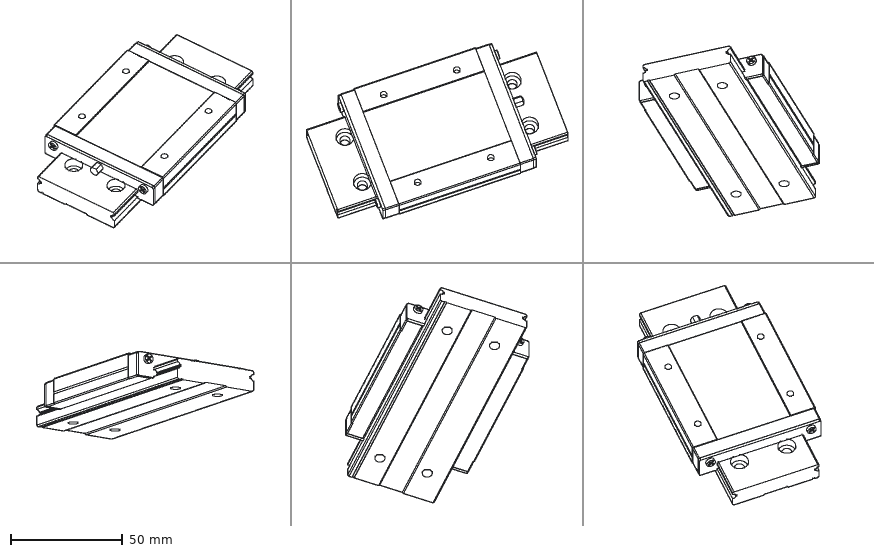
import cadquery as cq
import math

RAIL_LENGTH = 110.0
RAIL_WIDTH = 42.0
RAIL_HEIGHT = 9.6
RAIL_CHAMFER = 0.7
RACE_RADIUS = 1.5
RACE_HEIGHT = 6.4
RACE_SLOT_WIDTH = 0.8
RACE_SLOT_DEPTH = 2.1
RELIEF_WIDTH = 12.1
RELIEF_DEPTH = 0.5
MARK_GROOVE_WIDTH = 1.0
MARK_GROOVE_DEPTH = 0.3
MARK_GROOVE_X = -18.4
RAIL_HOLE_SPACING_X = 23.0
RAIL_HOLE_SPACING_Y = 80.0
RAIL_HOLE_DIAMETER = 4.5
COUNTERBORE_DIAMETER = 8.0
COUNTERBORE_DEPTH = 4.5

BLOCK_LENGTH = 58.0
BLOCK_WIDTH = 60.0
BLOCK_BOTTOM = 4.0
BLOCK_TOP = 16.0
BLOCK_CHAMFER = 0.5
TOP_RECESS_WIDTH = 36.0
TOP_RECESS_DEPTH = 0.3
SIDE_GROOVE_Z = 9.0
SIDE_GROOVE_HEIGHT = 1.0
SIDE_GROOVE_DEPTH = 0.16
CAP_LENGTH = 6.4
CAP_WIDTH = 59.4
CAP_TOP = 15.4
CAP_CHAMFER = 0.5
CHANNEL_MOUTH_CHAMFER = 0.9
PLATE_THICKNESS = 1.3
PLATE_INSET = 0.1
PLATE_BOTTOM = 4.2
PLATE_TOP_CHAMFER = 0.7
PLATE_BOTTOM_CHAMFER = 0.3
MOUNT_HOLE_SPACING_X = 45.0
MOUNT_HOLE_SPACING_Y = 35.0
MOUNT_HOLE_DIAMETER = 3.0
MOUNT_HOLE_DEPTH = 4.0
DRILL_POINT_ANGLE = 118.0
PLATE_WIDTH = CAP_WIDTH - 2 * PLATE_INSET
PLATE_TOP = CAP_TOP - PLATE_INSET
CARRIAGE_END = BLOCK_LENGTH / 2 + CAP_LENGTH + PLATE_THICKNESS

SCREW_DIAMETER = 4.2
SCREW_HEAD_HEIGHT = 1.3
SCREW_SPACING = 49.1
SCREW_Z = 12.3
CROSS_LENGTH = 2.9
CROSS_WIDTH = 0.4
CROSS_DEPTH = 0.7

NIPPLE_ACROSS_FLATS = 4.0
NIPPLE_LENGTH = 4.6
NIPPLE_DOME_RADIUS = 3.2
NIPPLE_Z = 12.4


def bar_along_y(outline, y_start, y_end):
    """Extrude a closed outline, in the XZ plane, from y_start to y_end."""
    return outline.extrude(y_start - y_end).translate((0, y_start, 0))


def chamfered_bar(width, bottom, top, top_chamfer, bottom_chamfer, y_range):
    """A rectangular bar along Y whose four long edges are chamfered."""
    outline = cq.Workplane("XZ").center(0, (bottom + top) / 2).rect(width, top - bottom)
    bar = bar_along_y(outline, *y_range)
    bar = bar.faces(">Z").edges("|Y").chamfer(top_chamfer)
    return bar.faces("<Z").edges("|Y").chamfer(bottom_chamfer)


def rail_bar():
    """The rail with its raceways, before the underside features and bolt holes."""
    y_range = (-RAIL_LENGTH / 2, RAIL_LENGTH / 2)
    bar = chamfered_bar(RAIL_WIDTH, 0, RAIL_HEIGHT, RAIL_CHAMFER, RAIL_CHAMFER, y_range)
    for side in (-1, 1):
        edge_x = side * RAIL_WIDTH / 2
        race = cq.Workplane("XZ").center(edge_x, RACE_HEIGHT).circle(RACE_RADIUS)
        slot = cq.Workplane("XZ").center(edge_x, RACE_HEIGHT).rect(2 * RACE_SLOT_DEPTH, RACE_SLOT_WIDTH)
        bar = bar.cut(bar_along_y(race, *y_range)).cut(bar_along_y(slot, *y_range))
    return bar


def make_rail():
    y_range = (-RAIL_LENGTH / 2, RAIL_LENGTH / 2)
    half_relief = RELIEF_WIDTH / 2
    relief = cq.Workplane("XZ").polyline([
        (-half_relief, 0),
        (half_relief, 0),
        (half_relief - RELIEF_DEPTH, RELIEF_DEPTH),
        (-half_relief + RELIEF_DEPTH, RELIEF_DEPTH),
    ]).close()
    mark = cq.Workplane("XZ").center(MARK_GROOVE_X, 0).rect(MARK_GROOVE_WIDTH, 2 * MARK_GROOVE_DEPTH)
    rail = rail_bar().cut(bar_along_y(relief, *y_range)).cut(bar_along_y(mark, *y_range))
    return (
        rail.faces(">Z").workplane(origin=(0, 0, RAIL_HEIGHT))
        .rarray(RAIL_HOLE_SPACING_X, RAIL_HOLE_SPACING_Y, 2, 2)
        .cboreHole(RAIL_HOLE_DIAMETER, COUNTERBORE_DIAMETER, COUNTERBORE_DEPTH)
    )


def block():
    """The central block, with its recessed top and a shallow arc groove along each side."""
    y_range = (-BLOCK_LENGTH / 2, BLOCK_LENGTH / 2)
    body = chamfered_bar(BLOCK_WIDTH, BLOCK_BOTTOM, BLOCK_TOP, BLOCK_CHAMFER, BLOCK_CHAMFER, y_range)
    half_recess = TOP_RECESS_WIDTH / 2
    recess = cq.Workplane("XZ").polyline([
        (-half_recess, BLOCK_TOP),
        (half_recess, BLOCK_TOP),
        (half_recess - TOP_RECESS_DEPTH, BLOCK_TOP - TOP_RECESS_DEPTH),
        (-half_recess + TOP_RECESS_DEPTH, BLOCK_TOP - TOP_RECESS_DEPTH),
    ]).close()
    body = body.cut(bar_along_y(recess, *y_range))
    for side in (-1, 1):
        edge_x = side * BLOCK_WIDTH / 2
        groove = (
            cq.Workplane("XZ")
            .moveTo(edge_x, SIDE_GROOVE_Z - SIDE_GROOVE_HEIGHT / 2)
            .threePointArc(
                (edge_x - side * SIDE_GROOVE_DEPTH, SIDE_GROOVE_Z),
                (edge_x, SIDE_GROOVE_Z + SIDE_GROOVE_HEIGHT / 2),
            )
            .close()
        )
        body = body.cut(bar_along_y(groove, *y_range))
    return body


def mount_holes():
    """The four blind drilled holes in the top of the block, as solids to cut."""
    radius = MOUNT_HOLE_DIAMETER / 2
    point_depth = radius / math.tan(math.radians(DRILL_POINT_ANGLE / 2))
    half_outline = [(0, 0), (radius, 0), (radius, -MOUNT_HOLE_DEPTH), (0, -MOUNT_HOLE_DEPTH - point_depth)]
    drill = cq.Workplane("XZ").polyline(half_outline).close().revolve(360, (0, 0), (0, 1)).val()
    return (
        cq.Workplane("XY").workplane(offset=BLOCK_TOP)
        .rarray(MOUNT_HOLE_SPACING_X, MOUNT_HOLE_SPACING_Y, 2, 2)
        .eachpoint(lambda place: drill.moved(place), combine=False)
    )


def screw_head(x, end):
    """A round head with a diagonal cross recess, standing out from the end plate at end = -1 or +1."""
    head = cq.Workplane("XZ").circle(SCREW_DIAMETER / 2).extrude(SCREW_HEAD_HEIGHT)
    for angle in (45, -45):
        arm = (
            cq.Workplane("XZ").workplane(offset=SCREW_HEAD_HEIGHT - CROSS_DEPTH)
            .transformed(rotate=(0, 0, angle))
            .rect(CROSS_LENGTH, CROSS_WIDTH).extrude(CROSS_DEPTH)
        )
        head = head.cut(arm)
    if end > 0:
        head = head.mirror("XZ")
    return head.translate((x, end * CARRIAGE_END, SCREW_Z))


def channel_mouth():
    """The chamfers where the rail channel opens through the underside of the block and caps."""
    half_length = BLOCK_LENGTH / 2 + CAP_LENGTH
    half_rail = RAIL_WIDTH / 2
    half_mouth = half_rail + CHANNEL_MOUTH_CHAMFER
    outline = cq.Workplane("XZ").polyline([
        (-half_mouth, BLOCK_BOTTOM),
        (half_mouth, BLOCK_BOTTOM),
        (half_rail, BLOCK_BOTTOM + CHANNEL_MOUTH_CHAMFER),
        (-half_rail, BLOCK_BOTTOM + CHANNEL_MOUTH_CHAMFER),
    ]).close()
    return bar_along_y(outline, -half_length, half_length)


def make_carriage():
    cap_start = BLOCK_LENGTH / 2
    plate_start = cap_start + CAP_LENGTH
    carriage = block()
    for end in (-1, 1):
        cap_range = sorted((end * cap_start, end * plate_start))
        plate_range = sorted((end * plate_start, end * CARRIAGE_END))
        cap = chamfered_bar(CAP_WIDTH, BLOCK_BOTTOM, CAP_TOP, CAP_CHAMFER, CAP_CHAMFER, cap_range)
        plate = chamfered_bar(
            PLATE_WIDTH, PLATE_BOTTOM, PLATE_TOP, PLATE_TOP_CHAMFER, PLATE_BOTTOM_CHAMFER, plate_range
        )
        carriage = carriage.union(cap).union(plate)
        for side in (-1, 1):
            carriage = carriage.union(screw_head(side * SCREW_SPACING / 2, end))
    return carriage.cut(rail_bar()).cut(channel_mouth()).cut(mount_holes())


def make_nipple():
    """A hexagonal grease nipple with a domed tip, its base against the -Y end plate."""
    across_corners = NIPPLE_ACROSS_FLATS / math.cos(math.pi / 6)
    hexagon = cq.Workplane("XZ").polygon(6, across_corners).extrude(NIPPLE_LENGTH)
    rim_y = NIPPLE_LENGTH - NIPPLE_DOME_RADIUS
    quarter = math.sqrt(0.5) * NIPPLE_DOME_RADIUS
    envelope = (
        cq.Workplane("XY")
        .lineTo(NIPPLE_DOME_RADIUS, 0)
        .lineTo(NIPPLE_DOME_RADIUS, -rim_y)
        .threePointArc((quarter, -rim_y - quarter), (0, -NIPPLE_LENGTH))
        .close()
        .revolve(360, (0, 0), (0, 1))
    )
    return hexagon.intersect(envelope).translate((0, -CARRIAGE_END, NIPPLE_Z))


rail = make_rail()
carriage = make_carriage()
nipple = make_nipple()

result = cq.Compound.makeCompound([rail.val(), carriage.val(), nipple.val()])